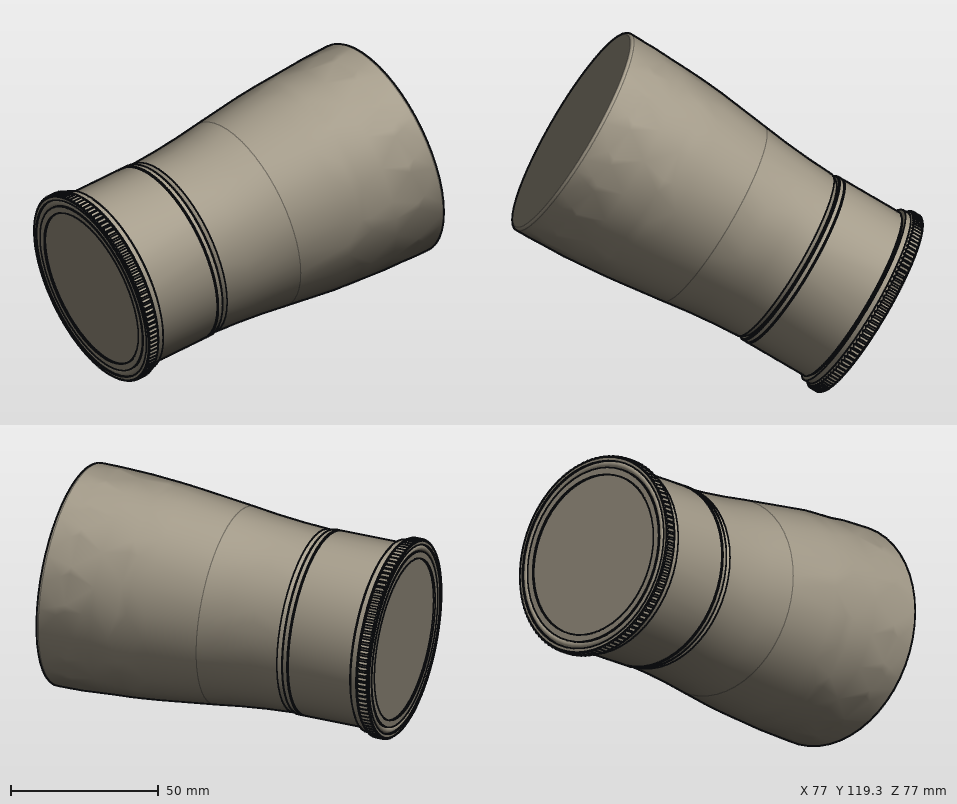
import cadquery as cq
import math

LENGTH = 119.3

CUP_REAR_DIAMETER = 77.0
CUP_REAR_RADIUS = CUP_REAR_DIAMETER / 2
CUP_REAR_ROUND = 1.0
CUP_BLEND_RADIUS = 34.2
CUP_BLEND_Y = 62.6
CUP_FRONT_RADIUS = 31.6
CUP_FRONT_Y = 34.2
CUP_NOSE_RADIUS = 30.4
CUP_NOSE_BULGE = 0.1
CUP_FRONT_HOLLOW = 0.4

BARREL_RADIUS = 32.0
BARREL_REAR_Y = 32.5
BARREL_REAR_CHAMFER = 0.4
BARREL_FRONT_CHAMFER = 0.7
BARREL_GROOVE_Y = 30.1
BARREL_GROOVE_WIDTH = 0.4
BARREL_GROOVE_DEPTH = 0.2

SEAL_OUTER_RADIUS = 32.7
SEAL_CORD = 2.4
SEAL_PROUD = 0.2

FACE_Y = SEAL_PROUD
FLANGE_RADIUS = 33.3
FLANGE_REAR_Y = 6.8
KNURL_RADIUS = 34.5
KNURL_REAR_Y = 4.8
KNURL_FRONT_BEVEL = 0.6
KNURL_REAR_BEVEL = 1.1
KNURL_COUNT = 110
KNURL_DEPTH = 0.6
RECESS_RADIUS = 27.9
RECESS_DEPTH = 0.6


def turn(outline):
    """Close a radius-against-Y outline and turn it about the Y axis."""
    return outline.close().revolve(360, (0, 0), (0, 1))


def disc(radius, front_y, rear_y):
    """Round disc on the Y axis between two Y positions."""
    return cq.Workplane("XZ", origin=(0, rear_y, 0)).circle(radius).extrude(rear_y - front_y)


def tube(outer_radius, inner_radius, front_y, rear_y):
    """Round tube on the Y axis between two Y positions."""
    return disc(outer_radius, front_y, rear_y).cut(disc(inner_radius, front_y, rear_y))


def make_cup():
    rim_y = LENGTH - CUP_REAR_ROUND
    rear_mid = (
        CUP_REAR_RADIUS - (CUP_REAR_RADIUS - CUP_BLEND_RADIUS) / 4,
        (rim_y + CUP_BLEND_Y) / 2,
    )
    front_mid = (
        (CUP_BLEND_RADIUS + CUP_FRONT_RADIUS) / 2 - CUP_FRONT_HOLLOW,
        (CUP_BLEND_Y + CUP_FRONT_Y) / 2,
    )
    nose_mid = (
        (CUP_FRONT_RADIUS + CUP_NOSE_RADIUS) / 2 + CUP_NOSE_BULGE,
        (CUP_FRONT_Y + BARREL_REAR_Y) / 2,
    )
    outline = (
        cq.Workplane("XY")
        .moveTo(0, LENGTH)
        .lineTo(CUP_REAR_RADIUS - CUP_REAR_ROUND, LENGTH)
        .tangentArcPoint((CUP_REAR_RADIUS, rim_y), relative=False)
        .threePointArc(rear_mid, (CUP_BLEND_RADIUS, CUP_BLEND_Y))
        .threePointArc(front_mid, (CUP_FRONT_RADIUS, CUP_FRONT_Y))
        .threePointArc(nose_mid, (CUP_NOSE_RADIUS, BARREL_REAR_Y))
        .lineTo(0, BARREL_REAR_Y)
    )
    return turn(outline)


def make_barrel():
    barrel = disc(BARREL_RADIUS, FLANGE_REAR_Y, BARREL_REAR_Y)
    barrel = barrel.faces(">Y").chamfer(BARREL_REAR_CHAMFER)
    barrel = barrel.faces("<Y").chamfer(BARREL_FRONT_CHAMFER)
    groove = tube(
        BARREL_RADIUS,
        BARREL_RADIUS - BARREL_GROOVE_DEPTH,
        BARREL_GROOVE_Y,
        BARREL_GROOVE_Y + BARREL_GROOVE_WIDTH,
    )
    return barrel.cut(groove)


def make_knurled_rim():
    """Rim with pointed teeth all round, bevelled at both ends."""
    half_pitch = math.pi / KNURL_COUNT
    root_radius = KNURL_RADIUS - KNURL_DEPTH
    points = []
    for corner in range(2 * KNURL_COUNT):
        radius = KNURL_RADIUS if corner % 2 == 0 else root_radius
        angle = corner * half_pitch
        points.append((radius * math.cos(angle), radius * math.sin(angle)))
    teeth = (
        cq.Workplane("XZ", origin=(0, KNURL_REAR_Y, 0))
        .polyline(points)
        .close()
        .extrude(KNURL_REAR_Y - FACE_Y)
    )
    bevelled_blank = turn(
        cq.Workplane("XY")
        .moveTo(0, FACE_Y)
        .lineTo(KNURL_RADIUS - KNURL_FRONT_BEVEL, FACE_Y)
        .lineTo(KNURL_RADIUS, FACE_Y + KNURL_FRONT_BEVEL)
        .lineTo(KNURL_RADIUS, KNURL_REAR_Y - KNURL_REAR_BEVEL)
        .lineTo(KNURL_RADIUS - KNURL_REAR_BEVEL, KNURL_REAR_Y)
        .lineTo(0, KNURL_REAR_Y)
    )
    return teeth.intersect(bevelled_blank)


def make_ring():
    flange = disc(FLANGE_RADIUS, KNURL_REAR_Y, FLANGE_REAR_Y)
    seal_groove = tube(SEAL_OUTER_RADIUS, SEAL_OUTER_RADIUS - SEAL_CORD, FACE_Y, SEAL_CORD)
    recess = disc(RECESS_RADIUS, FACE_Y, FACE_Y + RECESS_DEPTH)
    return make_knurled_rim().union(flange).cut(seal_groove).cut(recess)


def make_seal():
    """Cord that fills the width of its groove and rests on the groove floor."""
    cord_radius = SEAL_CORD / 2
    centre_radius = SEAL_OUTER_RADIUS - cord_radius
    centre = cq.Vector(0, cord_radius, 0)
    axis = cq.Vector(0, 1, 0)
    return cq.Workplane(cq.Solid.makeTorus(centre_radius, cord_radius, centre, axis))


cup = make_cup()
barrel = make_barrel()
ring = make_ring()
seal = make_seal()

result = cq.Compound.makeCompound([cup.val(), barrel.val(), ring.val(), seal.val()])